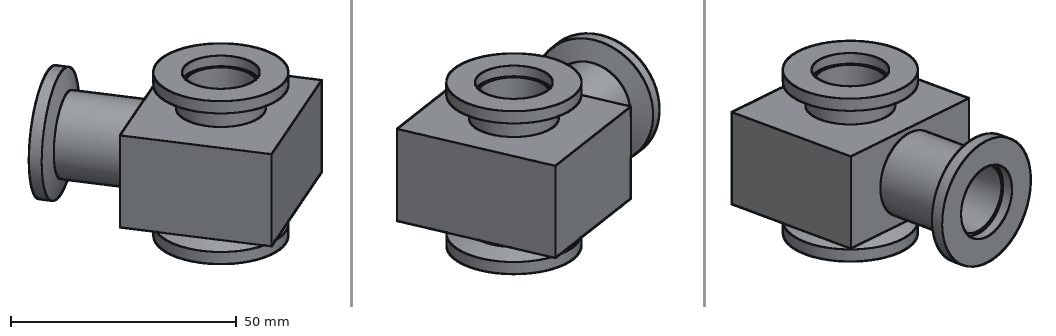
import cadquery as cq
import math

BODY_X = 35.0
BODY_Y = 40.0
BODY_Z = 22.6

THROUGH_PORT_REACH = 20.0
SIDE_PORT_REACH = 40.0

FLANGE_DIAMETER = 30.0
FLANGE_RIM = 3.0
FLANGE_TAPER_ANGLE = 15.0
TUBE_DIAMETER = 20.0
BORE_DIAMETER = 16.0
RECESS_DIAMETER = 17.2
RECESS_DEPTH = 2.6

TAPER_LENGTH = (FLANGE_DIAMETER - TUBE_DIAMETER) / 2 * math.tan(math.radians(FLANGE_TAPER_ANGLE))

PORTS = [
    (cq.Vector(0, 0, 1), THROUGH_PORT_REACH),
    (cq.Vector(0, 0, -1), THROUGH_PORT_REACH),
    (cq.Vector(-1, 0, 0), SIDE_PORT_REACH),
]


def cylinder(diameter, length, start, direction):
    """Solid cylinder that runs from a start point along a direction."""
    return cq.Workplane(cq.Solid.makeCylinder(diameter / 2, length, start, direction))


def port_exterior(direction, reach):
    """Tube with a flange whose back face tapers down to the tube."""
    face_centre = direction * reach
    rim_back = direction * (reach - FLANGE_RIM)
    inward = direction * -1
    taper = cq.Solid.makeCone(FLANGE_DIAMETER / 2, TUBE_DIAMETER / 2, TAPER_LENGTH, rim_back, inward)
    tube = cylinder(TUBE_DIAMETER, reach, face_centre, inward)
    rim = cylinder(FLANGE_DIAMETER, FLANGE_RIM, face_centre, inward)
    return tube.union(rim).union(cq.Workplane(taper))


def port_bore(direction, reach):
    """Bore to the crossing of the axes, with a shallow recess at the flange face."""
    face_centre = direction * reach
    inward = direction * -1
    bore = cylinder(BORE_DIAMETER, reach, face_centre, inward)
    recess = cylinder(RECESS_DIAMETER, RECESS_DEPTH, face_centre, inward)
    return bore.union(recess)


result = cq.Workplane("XY").box(BODY_X, BODY_Y, BODY_Z)
for port_direction, port_reach in PORTS:
    result = result.union(port_exterior(port_direction, port_reach))
for port_direction, port_reach in PORTS:
    result = result.cut(port_bore(port_direction, port_reach))